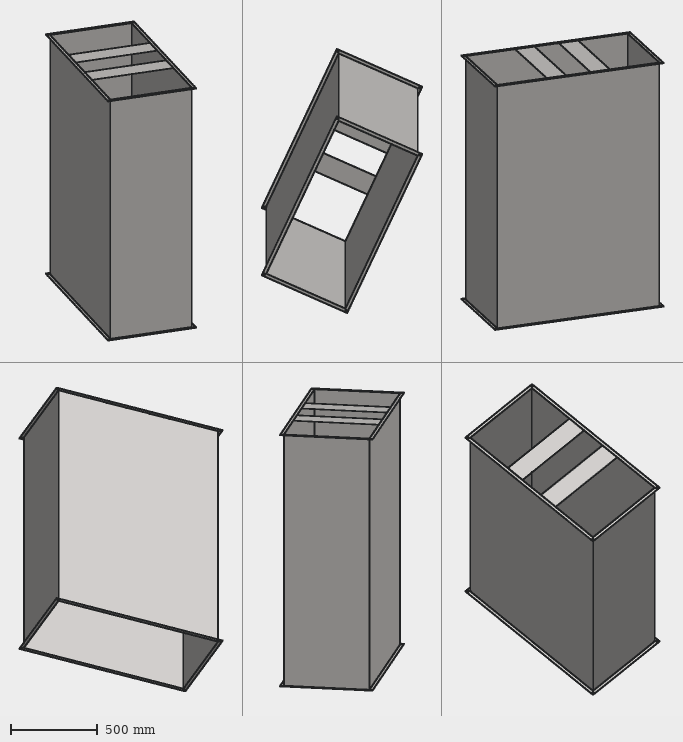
import cadquery as cq

height = 1500.0
duct_inner_x = 1000.0
duct_inner_y = 500.0
sheet = 1.0
flange_outer_x = 1042.0

corner_hole_diameter = 10.0

strip_width = 120.0
strip_spacing = 270.0

duct_outer_x = duct_inner_x + 2 * sheet
duct_outer_y = duct_inner_y + 2 * sheet
flange_width = (flange_outer_x - duct_outer_x) / 2
flange_outer_y = duct_outer_y + 2 * flange_width
corner_hole_span_x = duct_outer_x + flange_width
corner_hole_span_y = duct_outer_y + flange_width


def make_duct():
    """Open rectangular tube of thin sheet."""
    return (
        cq.Workplane("XY")
        .rect(duct_outer_x, duct_outer_y)
        .rect(duct_inner_x, duct_inner_y)
        .extrude(height)
    )


def make_flange(bottom_z):
    """Flat rectangular ring around one end of the duct, with a hole in each corner."""
    ring = (
        cq.Workplane("XY", origin=(0, 0, bottom_z))
        .rect(flange_outer_x, flange_outer_y)
        .rect(duct_outer_x, duct_outer_y)
        .extrude(sheet)
    )
    corner_holes = (
        cq.Workplane("XY", origin=(0, 0, bottom_z))
        .rect(corner_hole_span_x, corner_hole_span_y, forConstruction=True)
        .vertices()
        .circle(corner_hole_diameter / 2)
        .extrude(sheet)
    )
    return ring.cut(corner_holes)


def make_strip(center_x):
    """Flat strip across the duct from wall to wall, flush with the top end."""
    return (
        cq.Workplane("XY", origin=(center_x, 0, height - sheet))
        .rect(strip_width, duct_inner_y)
        .extrude(sheet)
    )


duct = make_duct()
flanges = [make_flange(bottom_z) for bottom_z in (0, height - sheet)]
strips = [make_strip(side * strip_spacing / 2) for side in (-1, 1)]

result = cq.Compound.makeCompound(
    [
        duct.val(),
        *[flange.val() for flange in flanges],
        *[strip.val() for strip in strips],
    ]
)